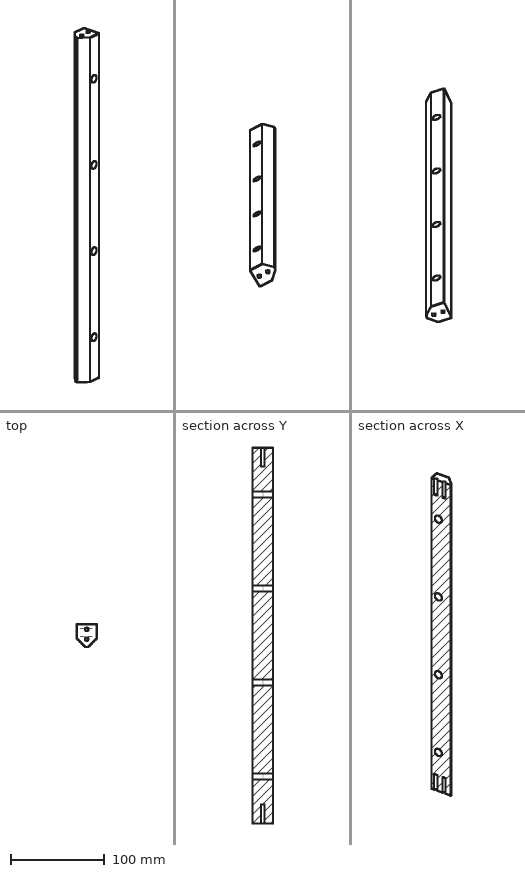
import cadquery as cq

length = 400.0
width = 22.0
depth = 24.5

nose_flat_width = 3.0

edge_chamfer = 0.5

cross_hole_diameter = 8.5
cross_hole_count = 4
cross_hole_pitch = length / cross_hole_count
cross_hole_from_back = 9.0

end_hole_diameter = 3.5
end_hole_depth = 20.0
end_holes_from_back = (5.5, 16.0)

half_width = width / 2
half_flat = nose_flat_width / 2
back_y = depth / 2
nose_y = -depth / 2
shoulder_y = nose_y + half_width - half_flat


def make_bar():
    outline = [
        (-half_width, back_y),
        (-half_width, shoulder_y),
        (-half_flat, nose_y),
        (half_flat, nose_y),
        (half_width, shoulder_y),
        (half_width, back_y),
    ]
    bar = cq.Workplane("XY").polyline(outline).close().extrude(length)
    bar = bar.faces(">Y").edges("|Z").chamfer(edge_chamfer)
    return bar.faces("<X or >X").edges("|Y").chamfer(edge_chamfer)


def make_cross_holes():
    hole_y = back_y - cross_hole_from_back
    centres = [(hole_y, (i + 0.5) * cross_hole_pitch) for i in range(cross_hole_count)]
    return (
        cq.Workplane("YZ")
        .pushPoints(centres)
        .circle(cross_hole_diameter / 2)
        .extrude(half_width, both=True)
    )


def make_end_holes(start_z):
    centres = [(0, back_y - offset) for offset in end_holes_from_back]
    return (
        cq.Workplane("XY", origin=(0, 0, start_z))
        .pushPoints(centres)
        .circle(end_hole_diameter / 2)
        .extrude(end_hole_depth)
    )


result = make_bar().cut(make_cross_holes())
for start_z in (0, length - end_hole_depth):
    result = result.cut(make_end_holes(start_z))